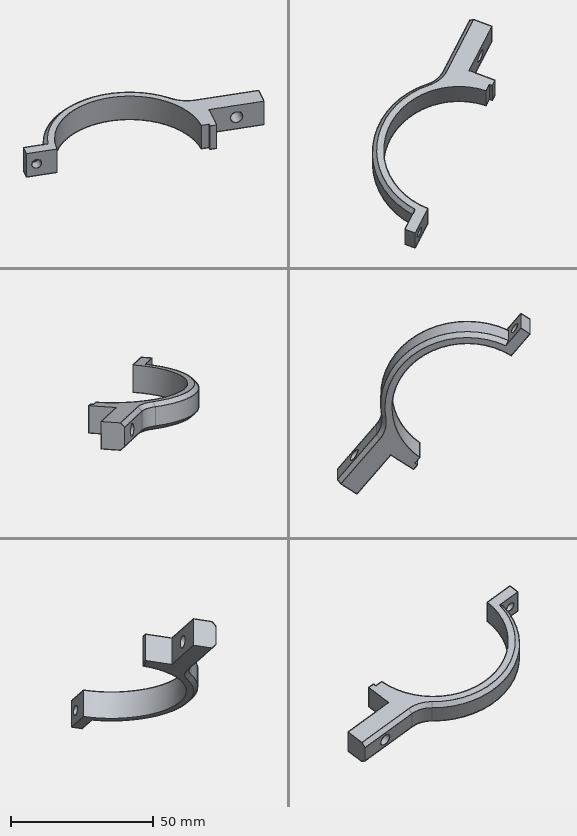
import cadquery as cq
import math

height = 10.0
outer_radius = 30.4
wall = 4.0
inner_radius = outer_radius - wall
bevel = 1.5

arm_left = -18.5
arm_width = 8.55
arm_right = arm_left + arm_width
arm_end = 51.6
blend_radius = 10.0

shelf_top = 31.6
lip_thickness = 2.4
lip_overhang = 1.2

lug_right = -0.3
lug_width = 4.0
lug_left = lug_right - lug_width
lug_end = -37.5

arm_hole_diameter = 4.45
arm_hole_y = (shelf_top + arm_end) / 2
lug_hole_diameter = 3.6
lug_hole_inset = 3.7
lug_hole_y = lug_end + lug_hole_inset


def circle_y(radius, x):
    """Positive Y of a centred circle at the given X."""
    return math.sqrt(radius**2 - x**2)


def point_on_circle(radius, angle, center=(0, 0)):
    """Point at an angle in radians on a circle."""
    return (center[0] + radius * math.cos(angle), center[1] + radius * math.sin(angle))


def make_body():
    """Half ring, arm and stepped shelf, with the outside edges bevelled."""
    blend_x = arm_left - blend_radius
    blend_y = circle_y(outer_radius + blend_radius, blend_x)
    blend_center = (blend_x, blend_y)
    ring_angle = math.atan2(blend_y, blend_x)
    blend_end = point_on_circle(outer_radius, ring_angle)
    blend_middle = point_on_circle(blend_radius, (ring_angle - math.pi) / 2, blend_center)

    step_x = -lip_overhang
    lip_bottom = shelf_top - lip_thickness
    profile = (
        cq.Workplane("XY")
        .workplane(offset=-height / 2)
        .moveTo(lug_left, -circle_y(inner_radius, lug_left))
        .threePointArc((-inner_radius, 0), (step_x, circle_y(inner_radius, step_x)))
        .lineTo(step_x, lip_bottom)
        .lineTo(0, lip_bottom)
        .lineTo(0, shelf_top)
        .lineTo(arm_right, shelf_top)
        .lineTo(arm_right, arm_end)
        .lineTo(arm_left, arm_end)
        .lineTo(arm_left, blend_y)
        .threePointArc(blend_middle, blend_end)
        .threePointArc((-outer_radius, 0), (lug_left, -circle_y(outer_radius, lug_left)))
        .close()
    )
    body = profile.extrude(height)
    arm_edges = cq.selectors.BoxSelector(
        (arm_left - wall, blend_y, -height), (arm_left + wall, arm_end, height)
    )
    return body.edges("|Y").edges(arm_edges).chamfer(bevel)


def make_lug():
    """Square-edged end tab whose inner end follows the bore."""
    return (
        cq.Workplane("XY")
        .workplane(offset=-height / 2)
        .moveTo(lug_left, lug_end)
        .lineTo(lug_right, lug_end)
        .lineTo(lug_right, -circle_y(inner_radius, lug_right))
        .radiusArc((lug_left, -circle_y(inner_radius, lug_left)), inner_radius)
        .close()
        .extrude(height)
    )


def make_hole(diameter, y):
    """Cutter along X, at mid height, through the full width of the part."""
    return (
        cq.Workplane("YZ")
        .center(y, 0)
        .circle(diameter / 2)
        .extrude(outer_radius, both=True)
    )


result = (
    make_body()
    .union(make_lug())
    .cut(make_hole(arm_hole_diameter, arm_hole_y))
    .cut(make_hole(lug_hole_diameter, lug_hole_y))
)